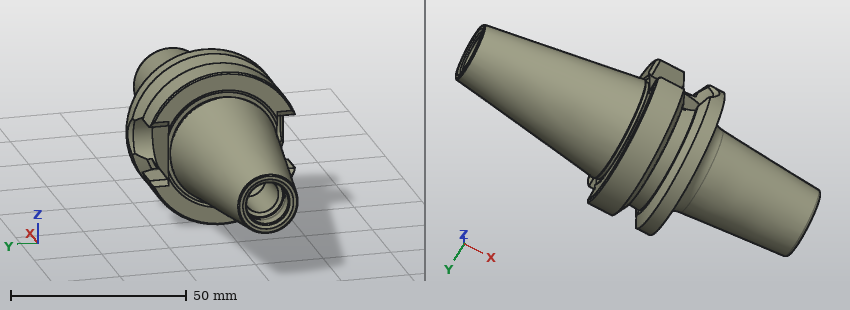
import cadquery as cq
import math

length = 108.4

shank_length = 48.5
shank_radius = 15.88
shank_taper = 7 / 48
shank_rim = 0.3

neck_radius = 15.5
neck_step = 0.3
relief_outer_radius = 17.7
relief_floor_radius = 16.9
relief_depth = 0.4

flange_start = 49.3
flange_width = 21.0
flange_radius = 23.0
flange_chamfer = 0.4
front_rim_width = 8.6
groove_width = 8.1
groove_side_width = 2.0
groove_side_angle = math.radians(60)
groove_floor_radius = 18.2
flange_end = flange_start + flange_width

nose_angle = math.radians(4.5)
nose_end_radius = 10.6
nose_fillet = 5.0
nose_end_round = 1.0

slot_width = 16.2
slot_floor = 16.0
slot_end = 67.3
slot_mouth_length = 1.0
slot_mouth_flare = 1.6
slot_rim_start = 21.7
slot_clearance = 1.1

mouth_radius = 7.5
mouth_depth = 0.4
relief_bore_radius = 6.5
land_radius = 6.2
land_lead = 0.5
land_end = 4.5
land_run_out = 1.1
socket_depth = 6.9
thread_radius = 5.1
thread_end = 21.7
bore_radius = 2.4
drill_half_angle = math.radians(59)


def revolve_about_x(profile):
    return profile.close().revolve(360, (0, 0, 0), (1, 0, 0))


def turned_body():
    small_radius = shank_radius - shank_length * shank_taper

    groove_start = flange_start + front_rim_width
    groove_end = groove_start + groove_width
    floor_start = groove_start + groove_side_width
    floor_end = groove_end - groove_side_width
    groove_lip_radius = flange_radius - groove_side_width * math.tan(groove_side_angle)

    arc_x = flange_end + nose_fillet
    cone_radius_at_arc = nose_end_radius + (length - arc_x) * math.tan(nose_angle)
    arc_radius = cone_radius_at_arc + nose_fillet / math.cos(nose_angle)

    def fillet_point(angle):
        return (
            arc_x - nose_fillet * math.cos(angle),
            arc_radius - nose_fillet * math.sin(angle),
        )

    profile = (
        cq.Workplane("XZ")
        .moveTo(0, 0)
        .lineTo(0, small_radius - shank_rim)
        .lineTo(shank_rim, small_radius + shank_rim * shank_taper)
        .lineTo(shank_length, shank_radius)
        .lineTo(shank_length + neck_step, neck_radius)
        .lineTo(flange_start + relief_depth, neck_radius)
        .lineTo(flange_start + relief_depth, relief_floor_radius)
        .lineTo(flange_start, relief_outer_radius)
        .lineTo(flange_start, flange_radius - flange_chamfer)
        .lineTo(flange_start + flange_chamfer, flange_radius)
        .lineTo(groove_start, flange_radius)
        .lineTo(floor_start, groove_lip_radius)
        .lineTo(floor_start, groove_floor_radius)
        .lineTo(floor_end, groove_floor_radius)
        .lineTo(floor_end, groove_lip_radius)
        .lineTo(groove_end, flange_radius)
        .lineTo(flange_end, flange_radius)
        .lineTo(*fillet_point(0))
        .threePointArc(fillet_point(math.pi / 4), fillet_point(math.pi / 2 - nose_angle))
        .lineTo(length, nose_end_radius)
        .lineTo(length, 0)
    )
    return revolve_about_x(profile).faces(">X").edges().fillet(nose_end_round)


def stepped_bore():
    shoulder_length = (land_radius - thread_radius) / math.tan(drill_half_angle)
    drill_point_length = (thread_radius - bore_radius) / math.tan(drill_half_angle)
    profile = (
        cq.Workplane("XZ")
        .moveTo(0, 0)
        .lineTo(0, mouth_radius)
        .lineTo(mouth_depth, relief_bore_radius)
        .lineTo(mouth_depth + land_lead, land_radius)
        .lineTo(land_end, land_radius)
        .lineTo(land_end + land_run_out, relief_bore_radius)
        .lineTo(socket_depth, relief_bore_radius)
        .lineTo(socket_depth, land_radius)
        .lineTo(socket_depth + shoulder_length, thread_radius)
        .lineTo(thread_end, thread_radius)
        .lineTo(thread_end + drill_point_length, bore_radius)
        .lineTo(length, bore_radius)
        .lineTo(length, 0)
    )
    return revolve_about_x(profile)


def drive_slot():
    """Round-ended slot on the -Y side, flared at its mouth and chamfered at its round end."""
    half_width = slot_width / 2
    end_centre_x = slot_end - half_width
    mouth_end = flange_start + slot_mouth_length
    slot = (
        cq.Workplane("XZ", origin=(0, -slot_floor, 0))
        .moveTo(flange_start, half_width + slot_mouth_flare)
        .lineTo(mouth_end, half_width)
        .lineTo(end_centre_x, half_width)
        .threePointArc((slot_end, 0), (end_centre_x, -half_width))
        .lineTo(mouth_end, -half_width)
        .lineTo(flange_start, -half_width - slot_mouth_flare)
        .close()
        .extrude(flange_radius - slot_floor + slot_clearance)
    )
    rim_height = flange_radius - slot_rim_start + slot_clearance
    rim = cq.Solid.makeCone(
        half_width,
        half_width + rim_height,
        rim_height,
        cq.Vector(end_centre_x, -slot_rim_start, 0),
        cq.Vector(0, -1, 0),
    )
    return slot.union(cq.Workplane(rim))


result = turned_body().cut(stepped_bore())
for turn in (0, 180):
    result = result.cut(drive_slot().rotate((0, 0, 0), (1, 0, 0), turn))